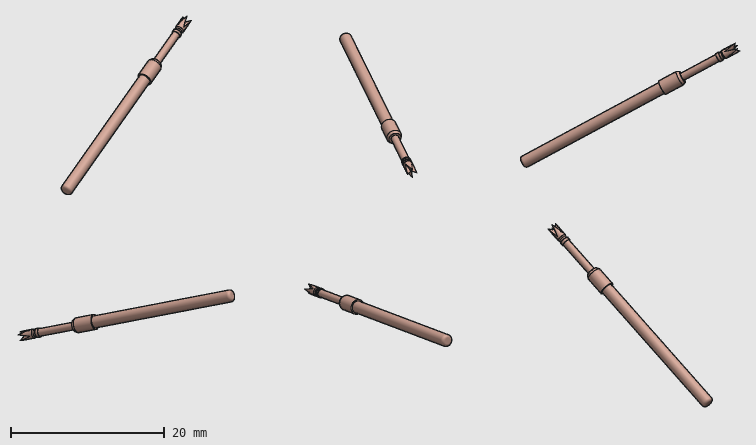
import cadquery as cq

length = 32.3
tip_y = length / 2

crown_radius = 0.6
plunger_radius = 0.52
sleeve_radius = 1.0
barrel_radius = 0.8

crown_end = 2.07
neck_start = 2.25
collar_start = 2.55
collar_end = 2.97
sleeve_start = 8.3
sleeve_end = 11.35

sleeve_chamfer_length = 0.4
sleeve_chamfer_depth = 0.2
tail_fillet = 0.4

crown_center_depth = crown_radius
valley_rim_depth = 1.7


def make_turned_body():
    """Revolve the stepped half profile about the Y axis."""
    points = [
        (0, 0),
        (crown_radius, 0),
        (crown_radius, crown_end),
        (plunger_radius, neck_start),
        (plunger_radius, collar_start),
        (crown_radius, collar_start),
        (crown_radius, collar_end),
        (plunger_radius, collar_end),
        (plunger_radius, sleeve_start),
        (sleeve_radius - sleeve_chamfer_depth, sleeve_start),
        (sleeve_radius, sleeve_start + sleeve_chamfer_length),
        (sleeve_radius, sleeve_end),
        (barrel_radius, sleeve_end),
        (barrel_radius, length),
        (0, length),
    ]
    profile = cq.Workplane("XY").polyline([(radius, tip_y - depth) for radius, depth in points]).close()
    body = profile.revolve(360, (0, 0, 0), (0, 1, 0))
    return body.faces("<Y").edges().fillet(tail_fillet)


def make_notch_cutter():
    """Convex cutter for the notch between the +X and +Z crown points."""
    reach = 1.5 * crown_radius
    top_y = tip_y + crown_radius
    center_y = tip_y - crown_center_depth
    ridge_y = center_y + reach * crown_center_depth / crown_radius
    rim_offset = crown_radius / 2**0.5
    valley_slope = (valley_rim_depth - crown_center_depth) / rim_offset
    valley_y = center_y - reach * valley_slope

    center = (0, center_y, 0)
    ridge_x = (reach, ridge_y, 0)
    ridge_z = (0, ridge_y, reach)
    valley = (reach, valley_y, reach)
    top_center = (0, top_y, 0)
    top_x = (reach, top_y, 0)
    top_z = (0, top_y, reach)
    top_corner = (reach, top_y, reach)

    outlines = [
        (center, ridge_x, valley),
        (center, valley, ridge_z),
        (center, top_center, top_x, ridge_x),
        (center, ridge_z, top_z, top_center),
        (ridge_x, top_x, top_corner, valley),
        (ridge_z, valley, top_corner, top_z),
        (top_center, top_z, top_corner, top_x),
    ]
    faces = []
    for outline in outlines:
        wire = cq.Wire.makePolygon([cq.Vector(*point) for point in outline], close=True)
        faces.append(cq.Face.makeFromWires(wire))
    return cq.Workplane(cq.Solid.makeSolid(cq.Shell.makeShell(faces)))


result = make_turned_body()
notch_cutter = make_notch_cutter()
for angle in (0, 90, 180, 270):
    result = result.cut(notch_cutter.rotate((0, 0, 0), (0, 1, 0), angle))